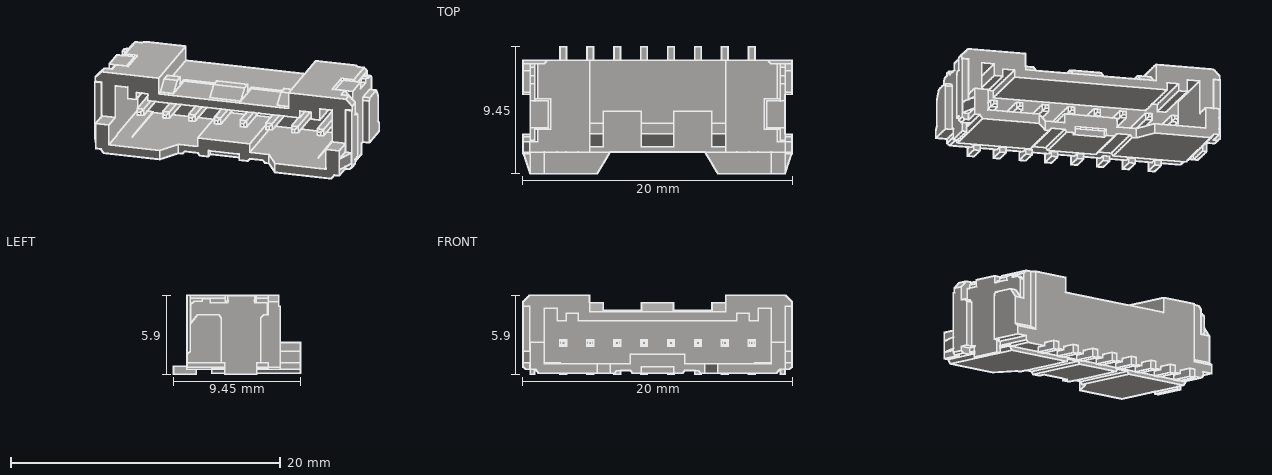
import cadquery as cq


half_width = 10.0
height = 5.9
front_y = -6.84
base_z = 0.38
base_chamfer_x = 0.2
base_chamfer_z = 0.17
belly_z = 0.08
end_block_x = 5.05

core_half_width = 9.13
plate_outer_x = 9.47
core_chamfer = 0.24
side_panel_bottom_z = 0.87
side_panel_top_z = 4.42

cavity_half_width = 8.43
cavity_back_y = -1.2
floor_z = 0.8
ceiling_z = 4.0

deck_z = 4.77
latch_pocket_z = 4.65
tooth_top_z = 5.33
tooth_half_width = 1.2
side_tooth_inner_x = 4.03

lip_front_y = -8.45
lip_wall_top_z = 2.38

contact_count = 8
contact_pitch = 2.0
contact_size = 0.5


def box(x0, x1, y0, y1, z0, z1):
    """Axis-aligned block between two opposite corners."""
    return cq.Workplane("XY").box(x1 - x0, y1 - y0, z1 - z0, centered=False).translate((x0, y0, z0))


def prism_x(points, x0, x1):
    """Prism along X from an outline of (y, z) points."""
    return cq.Workplane("YZ").polyline(points).close().extrude(x1 - x0).translate((x0, 0, 0))


def prism_y(points, y0, y1):
    """Prism along Y from an outline of (x, z) points."""
    return cq.Workplane("XZ").polyline(points).close().extrude(y1 - y0).translate((0, y1, 0))


def prism_z(points, z0, z1):
    """Prism along Z from an outline of (x, y) points."""
    return cq.Workplane("XY").polyline(points).close().extrude(z1 - z0).translate((0, 0, z0))


def both_sides(shape):
    """The shape together with its mirror image across X = 0."""
    return shape.union(shape.mirror("YZ"))


def make_core():
    """Main block with chamfered upper side edges and the lowered middle deck."""
    shoulder_x = core_half_width - core_chamfer
    outline = [
        (-core_half_width, base_z + base_chamfer_z),
        (-core_half_width + base_chamfer_x, base_z),
        (core_half_width - base_chamfer_x, base_z),
        (core_half_width, base_z + base_chamfer_z),
        (core_half_width, height - core_chamfer),
        (shoulder_x, height),
        (-shoulder_x, height),
        (-core_half_width, height - core_chamfer),
    ]
    core = prism_y(outline, front_y, 0)
    return core.cut(box(-end_block_x, end_block_x, front_y, 0, deck_z, height))


def make_floor_plate():
    """Cavity floor from the lip back under the housing, with sloped lower side edges."""
    plate_back_y = -1.83
    top_half_width = 9.07
    bottom_half_width = 8.85
    outline = [
        (-top_half_width, base_z),
        (-bottom_half_width, belly_z),
        (bottom_half_width, belly_z),
        (top_half_width, base_z),
        (top_half_width, floor_z),
        (-top_half_width, floor_z),
    ]
    return prism_y(outline, lip_front_y, plate_back_y)


def make_lip_wall():
    """Upright outer wall of the lip ahead of the front face."""
    return box(-plate_outer_x, -cavity_half_width, lip_front_y, front_y, base_z, lip_wall_top_z)


def make_lip_gap():
    """Trapezoid cut that splits the lip into a left and a right half."""
    tip_inner_x = 4.48
    root_inner_x = 3.52
    outline = [
        (-tip_inner_x, lip_front_y),
        (-root_inner_x, front_y),
        (root_inner_x, front_y),
        (tip_inner_x, lip_front_y),
    ]
    return prism_z(outline, 0, floor_z)


def make_lip_gusset():
    """Triangular web beside the lip wall, tapering forward from the full width."""
    gusset_bottom_z = 0.86
    gusset_top_z = 1.72
    outline = [
        (-half_width, front_y),
        (-plate_outer_x, lip_front_y),
        (-plate_outer_x, front_y),
    ]
    return prism_z(outline, gusset_bottom_z, gusset_top_z)


def make_flange(front, back, top_chamfer):
    """Left end plate between two Y positions, chamfered at its top and bottom outer edges."""
    inner_x = -core_half_width + core_chamfer
    outline = [
        (-half_width, base_z + base_chamfer_z),
        (-half_width, height - top_chamfer),
        (-half_width + top_chamfer, height),
        (inner_x, height),
        (inner_x, base_z),
        (-half_width + base_chamfer_x, base_z),
    ]
    return prism_y(outline, front, back)


def make_front_end():
    """Full-width flange at the front, its proud outer rim and the low rail behind it."""
    flange_back_y = -6.05
    flange_chamfer = 0.5
    rim_front_y = -6.95
    rim_top_z = 5.08
    rim_inner_x = 9.5
    rail_back_y = -5.5
    rail_chamfer = 0.2
    flange = make_flange(front_y, flange_back_y, flange_chamfer)
    rim = make_flange(rim_front_y, front_y, flange_chamfer)
    rim = rim.intersect(box(-half_width, -rim_inner_x, rim_front_y, front_y, 0, rim_top_z))
    rail_profile = [
        (flange_back_y, side_panel_bottom_z),
        (rail_back_y, side_panel_bottom_z),
        (rail_back_y, side_panel_top_z - rail_chamfer),
        (rail_back_y - rail_chamfer, side_panel_top_z),
        (flange_back_y, side_panel_top_z),
    ]
    rail = prism_x(rail_profile, -half_width, -core_half_width)
    return flange.union(rim).union(rail)


def make_rear_panel():
    """Outer side panel at the rear, with a long sloped and a short chamfered upper corner."""
    panel_front_y = -2.55
    front_chamfer_y = 0.15
    front_chamfer_z = 0.22
    slope_end_y = -0.78
    rear_top_z = 3.43
    profile = [
        (0, side_panel_bottom_z),
        (panel_front_y, side_panel_bottom_z),
        (panel_front_y, side_panel_top_z - front_chamfer_z),
        (panel_front_y + front_chamfer_y, side_panel_top_z),
        (slope_end_y, side_panel_top_z),
        (0, rear_top_z),
    ]
    return prism_x(profile, -half_width, -core_half_width)


def make_retention_plate():
    """Upright side plate with a board foot and a tab folded over the housing top."""
    rear_y = -0.27
    front_end_y = -5.95
    shoulder_z = 5.32
    tab_top_z = 5.84
    tab_thickness = 0.32
    tab_back_y = -3.04
    tab_front_y = -5.03
    tab_inner_x = 8.11
    foot_back_y = -2.8
    foot_front_y = -5.2
    barb_front_y = -1.75
    barb_back_y = -1.15
    barb_top_z = 5.62
    rear_shoulder_z = 5.43
    rear_slope_y = -0.55
    rear_slope_z = 5.2
    profile = [
        (rear_y, side_panel_bottom_z),
        (foot_back_y, side_panel_bottom_z),
        (foot_back_y, 0),
        (foot_front_y, 0),
        (foot_front_y, side_panel_bottom_z),
        (front_end_y, side_panel_bottom_z),
        (front_end_y, shoulder_z),
        (tab_front_y, shoulder_z),
        (tab_front_y, tab_top_z),
        (tab_back_y, tab_top_z),
        (tab_back_y, shoulder_z),
        (barb_front_y, shoulder_z),
        (barb_front_y, barb_top_z),
        (barb_back_y, barb_top_z),
        (barb_back_y, rear_shoulder_z),
        (rear_slope_y, rear_shoulder_z),
        (rear_y, rear_slope_z),
    ]
    plate = prism_x(profile, -plate_outer_x, -core_half_width)
    tab = box(-plate_outer_x, -tab_inner_x, tab_front_y, tab_back_y, tab_top_z - tab_thickness, tab_top_z)
    return plate.union(tab)


def make_tab_pocket():
    """Recess in the housing top that receives the folded tab."""
    pocket_inner_x = 7.93
    pocket_front_y = -5.15
    pocket_back_y = -2.86
    pocket_floor_z = 5.44
    return box(-core_half_width, -pocket_inner_x, pocket_front_y, pocket_back_y, pocket_floor_z, height)


def make_rear_corner_cut():
    """Notch along the rear vertical edge, with a slanted inner end and a sloped floor."""
    depth = 0.26
    inner_x = 8.42
    slope_top_z = 1.72
    slope_bottom_z = 1.5
    plan = [
        (-half_width, -depth),
        (-inner_x, -depth),
        (-inner_x + depth, 0),
        (-half_width, 0),
    ]
    profile = [
        (-depth, slope_top_z),
        (0, slope_bottom_z),
        (0, height),
        (-depth, height),
    ]
    return prism_z(plan, 0, height).intersect(prism_x(profile, -half_width, 0))


def make_cavity():
    """Mating cavity with the polarising keyways along its ceiling."""
    corner_top_z = 4.9
    corner_inner_x = 7.47
    keyway_top_z = 4.55
    keyway_outer_x = 6.8
    keyway_inner_x = 5.9
    cavity = box(-cavity_half_width, cavity_half_width, lip_front_y, cavity_back_y, floor_z, ceiling_z)
    corner = box(-cavity_half_width, -corner_inner_x, lip_front_y, cavity_back_y, ceiling_z, corner_top_z)
    keyway = box(-keyway_outer_x, -keyway_inner_x, lip_front_y, cavity_back_y, ceiling_z, keyway_top_z)
    return cavity.union(both_sides(corner.union(keyway)))


def make_raised_floor():
    """Raised middle rib on the cavity floor."""
    rib_half_width = 2.03
    rib_top_z = 1.48
    return box(-rib_half_width, rib_half_width, front_y, cavity_back_y, floor_z, rib_top_z)


def make_floor_pad():
    """Thin pad beside the cavity wall with a sloped front end."""
    pad_inner_x = 7.23
    pad_front_y = -6.5
    pad_slope = 0.25
    pad_thickness = 0.06
    pad_top_z = floor_z + pad_thickness
    profile = [
        (cavity_back_y, floor_z),
        (pad_front_y, floor_z),
        (pad_front_y + pad_slope, pad_top_z),
        (cavity_back_y, pad_top_z),
    ]
    return prism_x(profile, -cavity_half_width, -pad_inner_x)


def make_latch_pocket():
    """Shallow recess in the deck between two latch teeth, open to the front."""
    pocket_back_y = -3.8
    return box(-side_tooth_inner_x, -tooth_half_width, front_y, pocket_back_y, latch_pocket_z, deck_z)


def make_deck_front_cut():
    """Strip along the front of the deck, under and ahead of the teeth, level with the latch pockets."""
    strip_back_y = -6.0
    return box(-end_block_x, end_block_x, front_y, strip_back_y, latch_pocket_z, deck_z)


def make_tooth(x0, x1):
    """Latch tooth with an upright back and a sloped front."""
    back_y = -4.7
    crest_front_y = -5.47
    slope_foot_y = -6.45
    profile = [
        (back_y, latch_pocket_z),
        (back_y, tooth_top_z),
        (crest_front_y, tooth_top_z),
        (slope_foot_y, latch_pocket_z),
    ]
    return prism_x(profile, x0, x1)


def make_underside_groove():
    """Sloped-side groove running along Y under the floor."""
    groove_top_z = 0.28
    top_outer_x = 3.05
    top_inner_x = 2.02
    side_spread = 0.15
    outline = [
        (-top_outer_x - side_spread, belly_z),
        (-top_outer_x, groove_top_z),
        (-top_inner_x, groove_top_z),
        (-top_inner_x + side_spread, belly_z),
    ]
    return prism_y(outline, front_y, 0)


def make_front_notch():
    """Notch in the lower front edge below the raised floor."""
    notch_half_width = 1.2
    notch_depth = 0.5
    notch_top_z = 0.56
    back_y = front_y + notch_depth
    return box(-notch_half_width, notch_half_width, front_y, back_y, belly_z, notch_top_z)


def make_contact(x):
    """Straight contact with a pyramid tip, and its flat solder tail at the rear."""
    axis_z = 2.34
    shaft_front_y = -5.13
    tip_length = 0.37
    tip_size = 0.25
    tail_end_y = 1.0
    tail_start_y = -0.7
    tail_height = 0.62
    half = contact_size / 2
    shaft = box(x - half, x + half, shaft_front_y, cavity_back_y, axis_z - half, axis_z + half)
    tip = (
        cq.Workplane("XZ", origin=(x, shaft_front_y, axis_z))
        .rect(contact_size, contact_size)
        .workplane(offset=tip_length)
        .rect(tip_size, tip_size)
        .loft()
    )
    tail = box(x - half, x + half, tail_start_y, tail_end_y, 0, tail_height)
    return shaft.union(tip).union(tail)


side_details = make_front_end().union(make_rear_panel()).union(make_lip_gusset())
side_cuts = make_rear_corner_cut().union(make_tab_pocket())
mirrored_slots = make_latch_pocket().union(make_underside_groove())
housing = make_core().union(make_floor_plate()).cut(make_lip_gap())
housing = housing.union(both_sides(make_lip_wall().union(side_details)))
housing = housing.cut(both_sides(side_cuts)).cut(both_sides(mirrored_slots))
housing = housing.cut(make_cavity()).cut(make_deck_front_cut()).cut(make_front_notch())
housing = housing.union(make_raised_floor()).union(both_sides(make_floor_pad()))

side_tooth = make_tooth(-end_block_x, -side_tooth_inner_x)
housing = housing.union(make_tooth(-tooth_half_width, tooth_half_width)).union(both_sides(side_tooth))

result = housing.union(both_sides(make_retention_plate()))
first_contact_x = -contact_pitch * (contact_count - 1) / 2
for index in range(contact_count):
    result = result.union(make_contact(first_contact_x + index * contact_pitch))